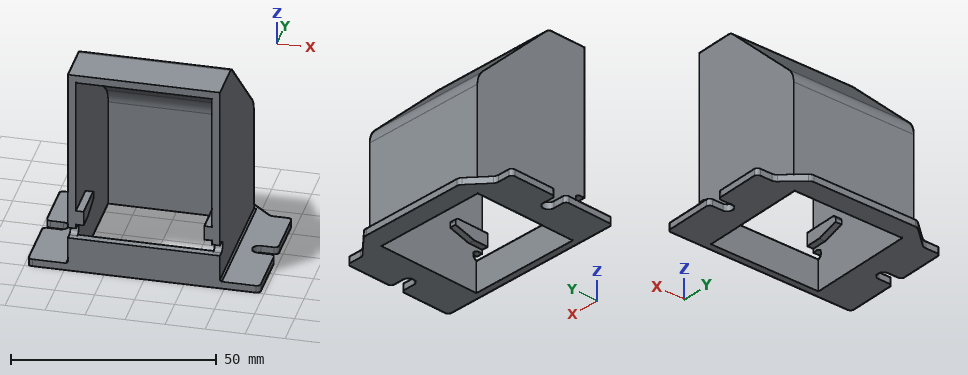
import cadquery as cq

flange_width = 58.0
flange_thickness = 2.0
flange_depth = 40.0
wing_depth = 34.0
wing_length = 5.4
tongue_inset = 12.25
flange_corner_radius = 1.05
tongue_radius = 2.0

slot_width = 3.5
slot_length = 6.05
slot_center_y = 17.5

hood_width = 38.05
hood_depth = 35.95
hood_height = 55.0
wall = 2.05
roof_depth = 12.0
rear_height = 32.1
roof_edge_radius = 2.0
rear_edge_radius = 6.0
base_chamfer = 0.45

sill_height = 9.15
notch_height = 2.9
notch_depth = 3.0
ledge_bottom = 13.15
ledge_top = 17.0
ledge_width = 1.9
ledge_length = 10.85
ledge_flat_length = 4.65
ledge_end_height = 2.05
ledge_end_radius = 1.0

half_width = flange_width / 2
inner_width = hood_width - 2 * wall


def block(x_min, x_max, y_min, y_max, z_min, z_max):
    """Box given by its limits along each axis."""
    size = (x_max - x_min, y_max - y_min, z_max - z_min)
    return cq.Workplane().box(*size, centered=False).translate((x_min, y_min, z_min))


def round_edges(solid, direction, corners, radius):
    """Round the edges along direction that pass through the given points."""
    for corner in corners:
        solid = solid.edges(direction).edges(cq.selectors.NearestToPointSelector(corner)).fillet(radius)
    return solid


def make_flange():
    """Flat plate with a tapered rear tongue and a slot in each wing."""
    half_tongue = half_width - tongue_inset
    shoulder = half_width - wing_length
    plate = (
        cq.Workplane()
        .polyline([
            (-half_width, 0), (half_width, 0),
            (half_width, wing_depth), (shoulder, wing_depth),
            (half_tongue, flange_depth), (-half_tongue, flange_depth),
            (-shoulder, wing_depth), (-half_width, wing_depth),
        ])
        .close()
        .extrude(flange_thickness)
    )
    mid_z = flange_thickness / 2
    slot_edges = (slot_center_y - slot_width / 2, slot_center_y + slot_width / 2)
    for side in (-1, 1):
        slot = (
            cq.Workplane()
            .center(side * half_width, slot_center_y)
            .slot2D(2 * slot_length, slot_width)
            .extrude(flange_thickness)
        )
        plate = plate.cut(slot)
        outer = [(side * half_width, y, mid_z) for y in (0, *slot_edges, wing_depth)]
        plate = round_edges(plate, "|Z", outer, flange_corner_radius)
        tongue = [(side * shoulder, wing_depth, mid_z), (side * half_tongue, flange_depth, mid_z)]
        plate = round_edges(plate, "|Z", tongue, tongue_radius)
    return plate


def side_profile(width):
    """Workplane for a side outline in Y and Z, extruded across the given width."""
    return cq.Workplane("YZ", origin=(-width / 2, 0, 0))


def make_hood():
    """Outer body of the hood, with its sloped and rounded rear."""
    hood = (
        side_profile(hood_width)
        .polyline([
            (0, 0), (hood_depth, 0), (hood_depth, rear_height),
            (roof_depth, hood_height), (0, hood_height),
        ])
        .close()
        .extrude(hood_width)
    )
    hood = round_edges(hood, "|X", [(0, roof_depth, hood_height)], roof_edge_radius)
    return round_edges(hood, "|X", [(0, hood_depth, rear_height)], rear_edge_radius)


def make_base_chamfer():
    """Tapered strip where the sides and rear of the hood meet the flange."""
    half_hood = hood_width / 2
    half_strip = half_hood + base_chamfer
    strip_top = flange_thickness + base_chamfer
    strip_depth = hood_depth + base_chamfer
    across = (
        cq.Workplane("XZ")
        .polyline([
            (-half_strip, flange_thickness), (half_strip, flange_thickness),
            (half_hood, strip_top), (-half_hood, strip_top),
        ])
        .close()
        .extrude(-strip_depth)
    )
    along = (
        side_profile(2 * half_strip)
        .polyline([
            (0, flange_thickness), (strip_depth, flange_thickness),
            (hood_depth, strip_top), (0, strip_top),
        ])
        .close()
        .extrude(2 * half_strip)
    )
    return across.intersect(along)


def make_cavity():
    """Inside of the hood: its outer shape moved in by the wall, open in front above the sill."""
    slope_y = hood_depth - roof_depth
    slope_z = hood_height - rear_height
    slope_length = (slope_y**2 + slope_z**2) ** 0.5
    inner_depth = hood_depth - wall
    inner_height = hood_height - wall
    inner_roof_depth = roof_depth - wall * (slope_length - slope_y) / slope_z
    inner_rear_height = rear_height - wall * (slope_length - slope_z) / slope_y
    cavity = (
        side_profile(inner_width)
        .polyline([
            (wall, 0), (inner_depth, 0), (inner_depth, inner_rear_height),
            (inner_roof_depth, inner_height), (0, inner_height),
            (0, sill_height), (wall, sill_height),
        ])
        .close()
        .extrude(inner_width)
    )
    cavity = round_edges(cavity, "|X", [(0, inner_roof_depth, inner_height)], roof_edge_radius)
    return round_edges(cavity, "|X", [(0, inner_depth, inner_rear_height)], rear_edge_radius)


def make_notches():
    """Round-ended notch across the front of both side walls, just above the sill."""
    radius = notch_height / 2
    straight = notch_depth - radius
    notch_top = sill_height + notch_height
    return (
        side_profile(hood_width)
        .moveTo(0, sill_height)
        .lineTo(straight, sill_height)
        .threePointArc((notch_depth, sill_height + radius), (straight, notch_top))
        .lineTo(0, notch_top)
        .close()
        .extrude(hood_width)
    )


def make_ledges():
    """Pair of ledges on the inner side faces, with the underside rising toward the rear."""
    bar = (
        side_profile(inner_width)
        .polyline([
            (0, ledge_bottom), (ledge_flat_length, ledge_bottom),
            (ledge_length, ledge_top - ledge_end_height),
            (ledge_length, ledge_top), (0, ledge_top),
        ])
        .close()
        .extrude(inner_width)
    )
    bar = round_edges(bar, "|X", [(0, ledge_length, ledge_top)], ledge_end_radius)
    half_gap = inner_width / 2 - ledge_width
    return bar.cut(block(-half_gap, half_gap, 0, ledge_length, ledge_bottom, ledge_top))


result = make_flange().union(make_hood()).union(make_base_chamfer())
result = result.cut(make_cavity()).cut(make_notches()).union(make_ledges())